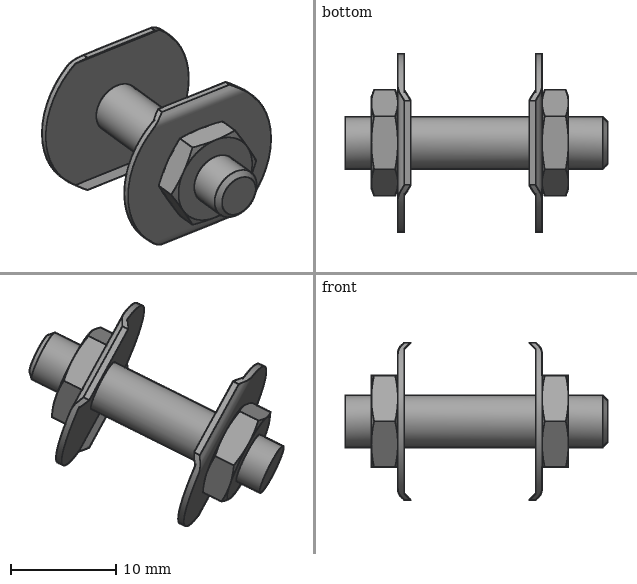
import cadquery as cq
import math

stud_length = 25.0
stud_diameter = 5.0
stud_chamfer = 0.5

nut_height = 2.5
nut_across_flats = 8.75
nut_across_corners = nut_across_flats / math.cos(math.radians(30))
nut_chamfer_depth = 0.25
nut_chamfer_radial = (nut_across_corners - nut_across_flats) / 2

plate_diameter = 17.0
plate_height = 15.0
plate_thickness = 0.62
lip_offset = 0.62
bend_radius = 1.08

left_nut_x = 2.5
left_plate_x = left_nut_x + nut_height
right_plate_x = 18.75


def make_stud():
    stud = cq.Workplane("YZ").circle(stud_diameter / 2).extrude(stud_length)
    return stud.faces(">X").chamfer(stud_chamfer)


def make_nut(start_x):
    """Solid hexagon, corners on Y, with both ends turned conical."""
    hexagon = (
        cq.Workplane("YZ")
        .polygon(6, nut_across_corners)
        .extrude(nut_height)
    )
    turned_blank = (
        cq.Workplane("YZ")
        .circle(nut_across_corners / 2)
        .extrude(nut_height)
        .faces("<X or >X")
        .chamfer(nut_chamfer_depth, nut_chamfer_radial)
    )
    return hexagon.intersect(turned_blank).translate((start_x, 0, 0))


def make_plate(outer_x, inward):
    """Plate with its outer face at outer_x; inward (+1 or -1) is the X direction of the lips."""
    lip_z = plate_height / 2
    bend_z = lip_z - lip_offset
    outer_edge_x = outer_x + inward * lip_offset
    inner_x = outer_x + inward * plate_thickness
    inner_edge_x = inner_x + inward * lip_offset
    section = (
        cq.Workplane("XZ")
        .moveTo(outer_x, -bend_z)
        .lineTo(outer_x, bend_z)
        .lineTo(outer_edge_x, lip_z)
        .lineTo(inner_edge_x, lip_z)
        .lineTo(inner_x, bend_z)
        .lineTo(inner_x, -bend_z)
        .lineTo(inner_edge_x, -lip_z)
        .lineTo(outer_edge_x, -lip_z)
        .close()
        .extrude(plate_diameter / 2, both=True)
    )
    outer_bends = "<X" if inward > 0 else ">X"
    section = section.faces(outer_bends).edges("|Y").fillet(bend_radius)
    disc = cq.Workplane("YZ").circle(plate_diameter / 2).extrude(stud_length)
    return section.intersect(disc)


result = (
    make_stud()
    .union(make_nut(left_nut_x))
    .union(make_plate(left_plate_x, 1))
    .union(make_plate(right_plate_x, -1))
    .union(make_nut(right_plate_x))
)